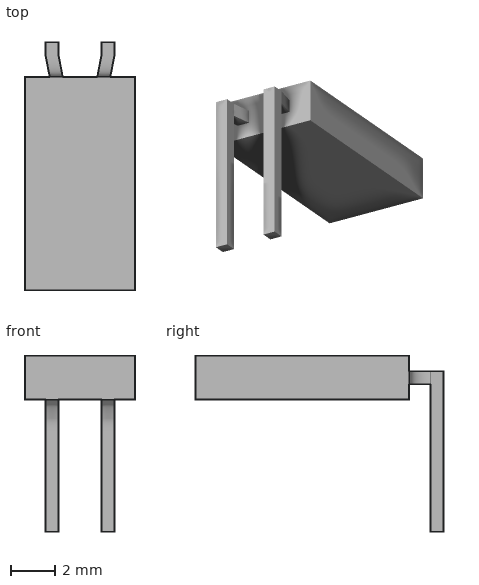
import cadquery as cq

body_width = 5.0
body_length = 9.7
body_height = 2.0

overall_length = 11.27
overall_height = 8.0
lead_size = 0.6
pin_pitch = 2.54
exit_pitch = 2.16

rear_reach = overall_length - body_length
bend_y = rear_reach - lead_size
lead_bottom = (body_height - lead_size) / 2
pin_top = lead_bottom + lead_size
pin_bottom = body_height - overall_height


def make_body():
    """Plain rectangular block reaching forward from the rear face."""
    return cq.Workplane("XY").box(
        body_width, body_length, body_height, centered=(True, False, False)
    ).translate((0, -body_length, 0))


def make_lead(side):
    """One lead: a splayed arm behind the body, then a pin straight down."""
    exit_x = side * exit_pitch / 2
    pin_x = side * pin_pitch / 2
    half = lead_size / 2
    arm = (
        cq.Workplane("XY", origin=(0, 0, lead_bottom))
        .polyline([
            (exit_x - half, 0),
            (exit_x + half, 0),
            (pin_x + half, bend_y),
            (pin_x - half, bend_y),
        ])
        .close()
        .extrude(lead_size)
    )
    pin = cq.Workplane("XY").box(
        lead_size, lead_size, pin_top - pin_bottom, centered=(True, False, False)
    ).translate((pin_x, bend_y, pin_bottom))
    return arm.union(pin)


result = make_body()
for side in (-1, 1):
    result = result.union(make_lead(side))